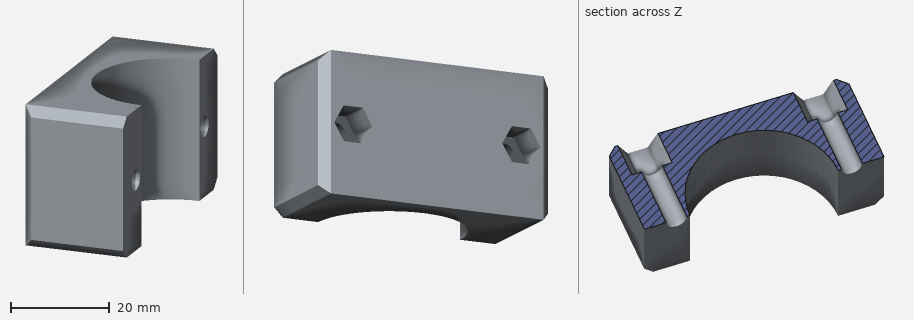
import cadquery as cq
import math

depth = 22.0
length = 52.0
height = 30.0
chamfer = 2.0

saddle_radius = 16.0

bolt_spacing = 38.0
bolt_diameter = 4.4
nut_across_flats = 7.5
nut_across_corners = nut_across_flats / math.cos(math.pi / 6)
nut_pocket_depth = 8.0


def make_block():
    """Block with both end faces chamfered on every edge but the open side."""
    block = cq.Workplane("XY").box(depth, length, height, centered=(False, True, True))
    end_edges = block.faces("<Y or >Y").edges("|X or (|Z and <X)")
    return block.newObject(end_edges.vals()).chamfer(chamfer)


def make_saddle():
    """Vertical cylinder that cuts the half-round saddle."""
    return cq.Workplane("XY").center(depth, 0).circle(saddle_radius).extrude(height / 2, both=True)


def make_bolt_cutter(y):
    """Through hole and nut pocket, with two pocket corners pointing along Y."""
    back = cq.Workplane("YZ").center(y, 0)
    hole = back.circle(bolt_diameter / 2).extrude(depth)
    pocket = back.polygon(6, nut_across_corners).extrude(nut_pocket_depth)
    return hole.union(pocket)


result = make_block().cut(make_saddle())
for side in (-1, 1):
    result = result.cut(make_bolt_cutter(side * bolt_spacing / 2))